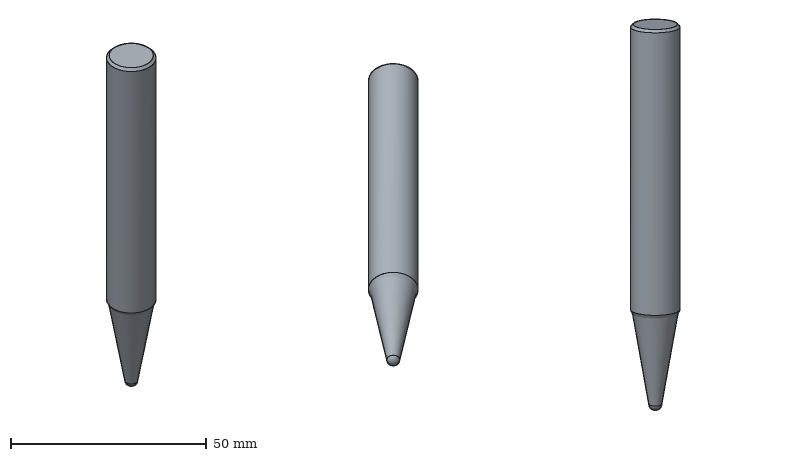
import cadquery as cq

total_length = 101.6
shank_diameter = 12.7

top_chamfer = 0.7
shank_end_height = 26.5
shoulder_drop = 1.0
shoulder_inset = 0.5

tip_radius = 1.68
tip_height = 1.5

shank_radius = shank_diameter / 2
cone_top_radius = shank_radius - shoulder_inset
cone_top_height = shank_end_height - shoulder_drop


def make_body():
    """Cylindrical shank with a chamfered top, a short shoulder and a long cone, cut flat at the tip."""
    half_profile = (
        cq.Workplane("XZ")
        .moveTo(0, tip_height)
        .lineTo(tip_radius, tip_height)
        .lineTo(cone_top_radius, cone_top_height)
        .lineTo(shank_radius, shank_end_height)
        .lineTo(shank_radius, total_length - top_chamfer)
        .lineTo(shank_radius - top_chamfer, total_length)
        .lineTo(0, total_length)
        .close()
    )
    return half_profile.revolve(360, (0, 0, 0), (0, 1, 0))


def make_tip():
    """Spherical cap that sits flat against the small end of the cone."""
    sphere_radius = (tip_radius**2 + tip_height**2) / (2 * tip_height)
    cap_block = cq.Workplane("XY").box(
        2 * sphere_radius, 2 * sphere_radius, tip_height, centered=(True, True, False)
    )
    ball = cq.Workplane("XY").sphere(sphere_radius).translate((0, 0, sphere_radius))
    return ball.intersect(cap_block)


body = make_body()
tip = make_tip()

result = cq.Compound.makeCompound([body.val(), tip.val()])